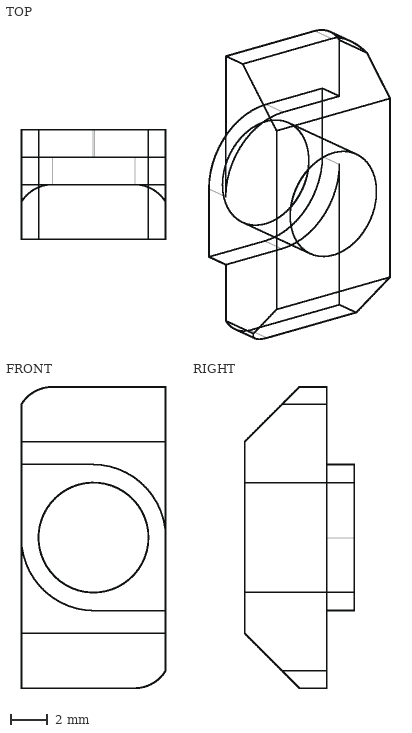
import cadquery as cq
import math

width = 7.9
height = 16.5
plate_depth = 4.5
boss_depth = 1.5
bevel = 3.0
hole_diameter = 6.0
boss_height = 8.0
corner_radius = 2.0
corner_drop = 0.95

half_width = width / 2
half_height = height / 2


def bevelled_bar():
    """Bar across the full width with a trapezoidal side profile."""
    front_half = half_height - bevel
    return (
        cq.Workplane("YZ")
        .moveTo(0, -front_half)
        .lineTo(bevel, -half_height)
        .lineTo(plate_depth, -half_height)
        .lineTo(plate_depth, half_height)
        .lineTo(bevel, half_height)
        .lineTo(0, front_half)
        .close()
        .extrude(half_width, both=True)
    )


def plate_outline():
    """Prism with rounded top-left and bottom-right corners."""
    arc_run = math.sqrt(corner_radius**2 - (corner_radius - corner_drop) ** 2)
    tangent_x = half_width - arc_run
    side_z = half_height - corner_drop
    return (
        cq.Workplane("XZ")
        .moveTo(-half_width, -half_height)
        .lineTo(tangent_x, -half_height)
        .radiusArc((half_width, -side_z), -corner_radius)
        .lineTo(half_width, half_height)
        .lineTo(-tangent_x, half_height)
        .radiusArc((-half_width, side_z), -corner_radius)
        .close()
        .extrude(-plate_depth)
    )


def boss():
    """Rear boss with two opposite quarters rounded, each tangent to its side at mid height."""
    radius = boss_height / 2
    tangent_x = half_width - radius
    return (
        cq.Workplane("XZ", origin=(0, plate_depth, 0))
        .moveTo(-half_width, radius)
        .lineTo(tangent_x, radius)
        .radiusArc((half_width, 0), radius)
        .lineTo(half_width, -radius)
        .lineTo(-tangent_x, -radius)
        .radiusArc((-half_width, 0), radius)
        .close()
        .extrude(-boss_depth)
    )


hole = cq.Workplane("XZ").circle(hole_diameter / 2).extrude(-(plate_depth + boss_depth))

result = bevelled_bar().intersect(plate_outline()).union(boss()).cut(hole)